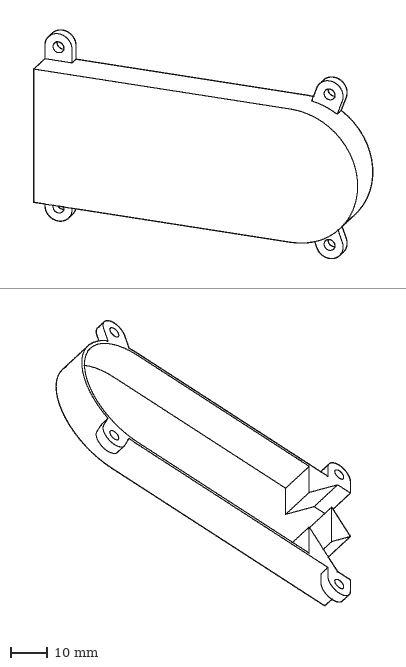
import cadquery as cq

length = 96.0
depth = 11.0
height = 55.6
end_radius = 19.8
wall = 1.0
end_center_x = length - end_radius

lug_radius = 4.0
lug_thickness = 3.0
lug_hole_diameter = 3.2
lug_reach = height / 2 - lug_radius
end_lug_tilt = 20.0

vane_length = 6.7
vane_half_height = 7.5
side_baffle_start = 4.6
side_baffle_slope = vane_half_height / vane_length
inner_half_height = end_radius - wall
side_baffle_end = side_baffle_start + (inner_half_height - vane_half_height) / side_baffle_slope


def plane_at(y):
    """XZ plane at the given Y, extruding toward +Y, with local y pointing to -Z."""
    return cq.Workplane(cq.Plane(origin=(0, y, 0), xDir=(1, 0, 0), normal=(0, 1, 0)))


def d_prism(radius, y_start):
    """Prism with a square end at X = 0 and a half-round far end."""
    return (
        plane_at(y_start)
        .moveTo(0, -radius)
        .lineTo(end_center_x, -radius)
        .threePointArc((end_center_x + radius, 0), (end_center_x, radius))
        .lineTo(0, radius)
        .close()
        .extrude(depth - y_start)
    )


def lug(center_x, side, tilt):
    """Round-ended drilled tab pointing to +Z (side = 1) or -Z (side = -1)."""
    tab = (
        plane_at(depth - lug_thickness)
        .moveTo(-lug_radius, 0)
        .lineTo(-lug_radius, -lug_reach)
        .threePointArc((0, -lug_reach - lug_radius), (lug_radius, -lug_reach))
        .lineTo(lug_radius, 0)
        .close()
        .extrude(lug_thickness)
    )
    hole = (
        plane_at(depth - lug_thickness)
        .center(0, -lug_reach)
        .circle(lug_hole_diameter / 2)
        .extrude(lug_thickness)
    )
    tab = tab.cut(hole).rotate((0, 0, 0), (0, 1, 0), tilt)
    if side < 0:
        tab = tab.mirror("XY")
    return tab.translate((center_x, 0, 0))


def baffle_prism(points):
    """Full-depth baffle with the given X, Z outline."""
    return plane_at(0).polyline([(x, -z) for x, z in points]).close().extrude(depth)


def center_vane():
    """Triangular wedge with its ridge at the open end."""
    return baffle_prism([
        (0, 0),
        (vane_length, vane_half_height),
        (vane_length, -vane_half_height),
    ])


def side_baffle(side):
    """Triangular wedge sloping inward from a long wall as far as the vane edge."""
    wall_z = side * inner_half_height
    return baffle_prism([
        (side_baffle_start, wall_z),
        (side_baffle_end, side * vane_half_height),
        (side_baffle_end, wall_z),
    ])


body = d_prism(end_radius, 0)
for side in (1, -1):
    body = body.union(lug(lug_radius, side, 0))
    body = body.union(lug(end_center_x, side, end_lug_tilt))

result = body.cut(d_prism(inner_half_height, wall))

result = result.union(center_vane())
for side in (1, -1):
    result = result.union(side_baffle(side))